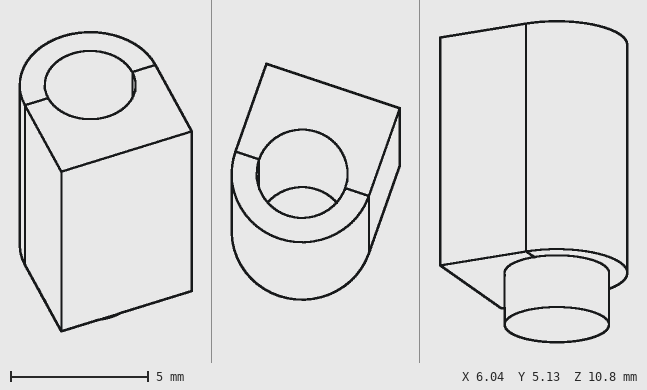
import cadquery as cq

total_height = 10.8
width = 5.13
total_length = 6.04

round_radius = width / 2
block_length = total_length - round_radius
spigot_diameter = 3.8
spigot_height = 2.0
housing_height = total_height - spigot_height
bore_diameter = 3.3


def bore():
    """Cylinder that runs the full height of the housing and stops on the spigot."""
    return cq.Workplane("XY").workplane(offset=spigot_height).circle(bore_diameter / 2).extrude(housing_height)


def make_round_half():
    """Half-round shell on the -X side of the parting plane X = 0."""
    outline = (
        cq.Workplane("XY")
        .workplane(offset=spigot_height)
        .moveTo(0, round_radius)
        .threePointArc((-round_radius, 0), (0, -round_radius))
        .close()
    )
    return outline.extrude(housing_height).cut(bore())


def make_block_half():
    """Rectangular block on the +X side of the parting plane, with the whole spigot below it."""
    block = (
        cq.Workplane("XY")
        .workplane(offset=spigot_height)
        .rect(block_length, width)
        .extrude(housing_height)
        .translate((block_length / 2, 0, 0))
    )
    spigot = cq.Workplane("XY").circle(spigot_diameter / 2).extrude(spigot_height)
    return block.cut(bore()).union(spigot)


round_half = make_round_half()
block_half = make_block_half()

result = cq.Compound.makeCompound([round_half.val(), block_half.val()])